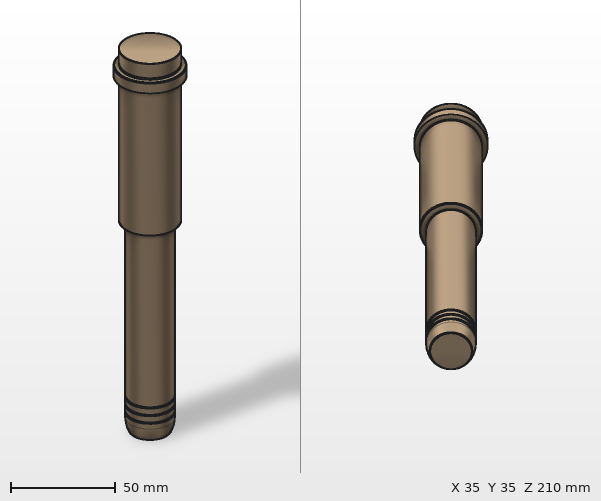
import cadquery as cq

length = 210.0
body_radius = 30.0 / 2
collar_radius = 35.0 / 2
shank_radius = 24.0 / 2

collar_top = length - 9.0
collar_bottom = length - 15.0
body_bottom = length - 95.0
edge_chamfer = 0.5
end_chamfer = 0.2
tip_chamfer = 0.5

nose_height = 7.4
nose_tip_radius = 10.3
nose_mid_radius = 11.5

groove_radius = 0.5
relief_depth = 0.2
relief_width = 1.0
lowest_groove_height = 10.5
groove_pitch = 4.2
groove_count = 3


def cylinder(radius, bottom, top):
    return cq.Workplane("XY").workplane(offset=bottom).circle(radius).extrude(top - bottom)


def ring_cutter(radius, bottom, width):
    """Ring that cuts a shallow relief into a cylinder of the given radius."""
    ring = cq.Workplane("XY").workplane(offset=bottom)
    return ring.circle(radius + relief_depth).circle(radius - relief_depth).extrude(width)


def round_groove_cutter(height):
    """Torus centred on the shank surface."""
    section = cq.Workplane("XZ").center(shank_radius, height).circle(groove_radius)
    return section.revolve(360, (-shank_radius, 0, 0), (-shank_radius, 1, 0))


def make_shank():
    """Slender lower cylinder with a convex nose."""
    return (
        cq.Workplane("XZ")
        .lineTo(nose_tip_radius - tip_chamfer, 0)
        .lineTo(nose_tip_radius, tip_chamfer)
        .threePointArc((nose_mid_radius, nose_height / 2), (shank_radius, nose_height))
        .lineTo(shank_radius, body_bottom)
        .lineTo(0, body_bottom)
        .close()
        .revolve(360, (0, 0, 0), (0, 1, 0))
    )


body = cylinder(body_radius, body_bottom, length).faces("<Z").chamfer(edge_chamfer)
body = body.faces(">Z").chamfer(end_chamfer)
for relief_bottom in (collar_top, collar_bottom - relief_width):
    body = body.cut(ring_cutter(body_radius, relief_bottom, relief_width))

collar = cylinder(collar_radius, collar_bottom, collar_top).faces(">Z").chamfer(edge_chamfer)

shank = make_shank()
for index in range(groove_count):
    groove_height = lowest_groove_height + index * groove_pitch
    shank = shank.cut(round_groove_cutter(groove_height))
shank = shank.cut(ring_cutter(shank_radius, body_bottom - relief_width, relief_width))

result = shank.union(body).union(collar)